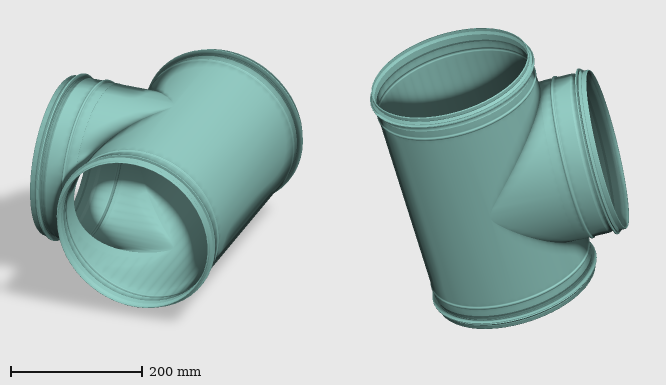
import cadquery as cq
SHEET = 0.5

PIPE_DIAMETER = 249.0
END_DIAMETER = 247.0
END_LENGTH = 1.0

RUN_LENGTH = 386.0
RUN_GROOVE_START = 5.8
RUN_BEAD_POSITION = 38.5
RUN_BEAD_HALF_WIDTH = 3.5
RUN_BEAD_HEIGHT = 1.5

BRANCH_REACH = 196.0
BRANCH_GROOVE_START = 7.0
BRANCH_BEAD_POSITION = 53.5
BRANCH_BEAD_HALF_WIDTH = 4.0
BRANCH_BEAD_HEIGHT = 2.7
SADDLE_OVERLAP = 9.3

GROOVE_DIAMETER = 244.0
GROOVE_SLOPE = 4.2
GROOVE_LENGTH = 18.5

SEAL_SURFACE_DIAMETER = 245.5
SEAL_LENGTH = 10.5
BARB_DIAMETER = 254.5
BARB_FOOT = 1.0
BARB_TIP = 4.5
BARB_BACK = 6.0
FIN_DIAMETER = 259.5
FIN_START = 7.5
FIN_END = 9.0

PIPE_RADIUS = PIPE_DIAMETER / 2
END_RADIUS = END_DIAMETER / 2
GROOVE_RADIUS = GROOVE_DIAMETER / 2
INNER_RADIUS = PIPE_RADIUS - SHEET


def revolve_about_x(outline):
    """Turn a closed (distance, radius) outline about the X axis."""
    return outline.close().revolve(360, (0, 0, 0), (1, 0, 0))


def add_bead(outline, position, wall, half_width, height):
    """Add a raised bead: a round crown between two hollow feet, joined at half height."""
    quarter = half_width / 2
    mid_height = wall + height / 2
    return (
        outline.lineTo(position - half_width, wall)
        .tangentArcPoint((position - quarter, mid_height), relative=False)
        .tangentArcPoint((position + quarter, mid_height), relative=False)
        .tangentArcPoint((position + half_width, wall), relative=False)
    )


def spigot_body(length, groove_start, bead_position, bead_half_width, bead_height, inset):
    """Body of revolution with the turned-in edge, seal groove and bead of a pipe end, from x = 0.

    The inset lowers every radius, so that a body inset by the sheet thickness is the inside of
    the pipe.
    """
    wall = PIPE_RADIUS - inset
    floor = GROOVE_RADIUS - inset
    groove_end = groove_start + GROOVE_LENGTH
    outline = (
        cq.Workplane("XY")
        .moveTo(0, 0)
        .lineTo(0, END_RADIUS - inset)
        .lineTo(END_LENGTH, wall)
        .lineTo(groove_start, wall)
        .lineTo(groove_start + GROOVE_SLOPE, floor)
        .lineTo(groove_end - GROOVE_SLOPE, floor)
        .lineTo(groove_end, wall)
    )
    outline = add_bead(outline, bead_position, wall, bead_half_width, bead_height)
    return revolve_about_x(outline.lineTo(length, wall).lineTo(length, 0))


def run_body(inset):
    """Both mirrored halves of the run, set along Y."""
    half = spigot_body(
        RUN_LENGTH / 2,
        RUN_GROOVE_START,
        RUN_BEAD_POSITION,
        RUN_BEAD_HALF_WIDTH,
        RUN_BEAD_HEIGHT,
        inset,
    )
    half = half.translate((-RUN_LENGTH / 2, 0, 0))
    return half.union(half.mirror("YZ")).clean().rotate((0, 0, 0), (0, 0, 1), 90)


def branch_body(inset):
    """The branch from its open end to the side of the run."""
    body = spigot_body(
        BRANCH_REACH - PIPE_RADIUS,
        BRANCH_GROOVE_START,
        BRANCH_BEAD_POSITION,
        BRANCH_BEAD_HALF_WIDTH,
        BRANCH_BEAD_HEIGHT,
        inset,
    )
    return body.translate((-BRANCH_REACH, 0, 0))


def saddle_body(radius):
    """Round bar from inside the branch pipe to the axis of the run."""
    return cq.Workplane("YZ").circle(radius).extrude(-PIPE_RADIUS - SADDLE_OVERLAP)


def make_run():
    """Run pipe with the saddle, a collar that fits inside the branch pipe."""
    outside = run_body(0).union(saddle_body(INNER_RADIUS))
    return outside.cut(run_body(SHEET)).cut(saddle_body(INNER_RADIUS - SHEET))


def make_branch():
    """Branch pipe, ending level with the side of the run."""
    return branch_body(0).cut(branch_body(SHEET))


def make_seal():
    """Rubber ring in the outer part of a groove, with a barb and a fin; groove start at x = 0."""
    surface = SEAL_SURFACE_DIAMETER / 2
    foot_radius = PIPE_RADIUS - (PIPE_RADIUS - GROOVE_RADIUS) * BARB_FOOT / GROOVE_SLOPE
    outline = (
        cq.Workplane("XY")
        .moveTo(BARB_FOOT, foot_radius)
        .lineTo(BARB_TIP, BARB_DIAMETER / 2)
        .lineTo(BARB_BACK, surface)
        .lineTo(FIN_START, surface)
        .lineTo(FIN_START, FIN_DIAMETER / 2)
        .lineTo(FIN_END, FIN_DIAMETER / 2)
        .lineTo(FIN_END, surface)
        .lineTo(SEAL_LENGTH, surface)
        .lineTo(SEAL_LENGTH, GROOVE_RADIUS)
        .lineTo(GROOVE_SLOPE, GROOVE_RADIUS)
    )
    return revolve_about_x(outline)


def make_seals():
    """One seal at each open end: two on the run and one on the branch."""
    run_offset = RUN_GROOVE_START - RUN_LENGTH / 2
    branch_offset = BRANCH_GROOVE_START - BRANCH_REACH
    seals = []
    for offset, turn in ((run_offset, 90), (run_offset, -90), (branch_offset, 0)):
        seal = make_seal().translate((offset, 0, 0))
        seals.append(seal.rotate((0, 0, 0), (0, 0, 1), turn))
    return seals


run = make_run()
branch = make_branch()
seals = make_seals()

result = cq.Compound.makeCompound([run.val(), branch.val(), *[seal.val() for seal in seals]])